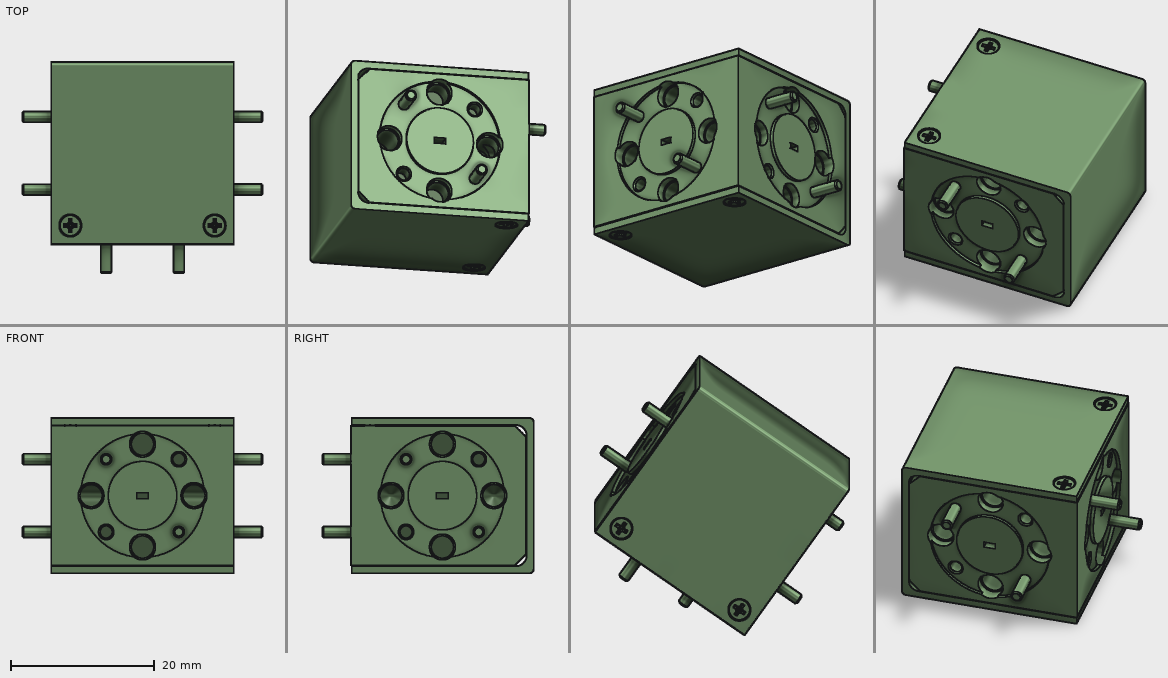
import cadquery as cq
import math

body_width = 25.4
port_face = body_width / 2
cover_height = 21.6
cover_wall = 1.0
cover_gap = 0.1
cover_setback = 0.1
cover_outer_radius = 0.6
cover_inner_radius = 1.5
block_chamfer = 1.5
port_turns = (0, -90, 90)

bolt_circle_radius = 14.29 / 2
flange_dia = 17.2
boss_dia = 9.525
ring_depth = 0.5
guide_width = 1.65
guide_height = 0.83
guide_depth = 5.0
bolt_hole_dia = 3.1
bolt_relief_dia = 3.6
bolt_relief_depth = 1.7
cross_hole_depth = 8.0
upright_hole_depth = 5.0
front_hole_depth = port_face - bolt_circle_radius
drill_point_angle = 118
pin_dia = 1.55
pin_length = 4.0
pin_chamfer = 0.2
pin_hole_dia = 1.7
pin_hole_chamfer = 0.22
pin_hole_depth = 3.0

screw_x = 10.03
screw_inset = 2.65
screw_head_dia = 2.85
screw_shank_dia = 1.6
screw_head_sink = 0.15
screw_length = 4.0
recess_span = 1.85
recess_slot = 0.45
recess_taper = 12
recess_core_dia = 0.95
recess_depth = 0.8
recess_tip_depth = 1.2

cover_top = cover_height / 2
block_height = cover_height - 2 * (cover_wall + cover_gap)
block_back = port_face - cover_wall - cover_gap
cover_front = -port_face + cover_setback
screw_y = -port_face + screw_inset
pin_offset = bolt_circle_radius * math.cos(math.radians(45))


def block_between(x_size, y_min, y_max, z_size):
    """Box centred on X and Z, spanning y_min to y_max."""
    return cq.Workplane("XY").box(x_size, y_max - y_min, z_size).translate((0, (y_min + y_max) / 2, 0))


def bore(x, z, dia, depth):
    """Flat-bottomed bore going inwards from the front face."""
    plane = cq.Workplane("XZ", origin=(x, -port_face, z))
    return plane.circle(dia / 2).extrude(-depth)


def drill_point(x, z, dia, depth):
    """Cone left by the drill at the end of a bore."""
    radius = dia / 2
    length = radius / math.tan(math.radians(drill_point_angle / 2))
    bore_end = cq.Vector(x, -port_face + depth, z)
    return cq.Workplane(cq.Solid.makeCone(radius, 0, length, bore_end, cq.Vector(0, 1, 0)))


def bolt_hole(x, z, depth):
    relief = bore(x, z, bolt_relief_dia, bolt_relief_depth)
    return bore(x, z, bolt_hole_dia, depth).union(relief)


def cross_hole(x, pointed):
    """Bolt hole beside the waveguide: drilled deep with a pointed end, or ending in the hole it meets."""
    if not pointed:
        return bolt_hole(x, 0, front_hole_depth)
    tip = drill_point(x, 0, bolt_hole_dia, cross_hole_depth)
    return bolt_hole(x, 0, cross_hole_depth).union(tip)


def pin_hole(x, z):
    """Hole for a mating pin, chamfered at the floor of the flange ring."""
    rim = cq.Vector(x, -port_face + ring_depth, z)
    radius = pin_hole_dia / 2
    chamfer = cq.Solid.makeCone(radius + pin_hole_chamfer, radius, pin_hole_chamfer, rim, cq.Vector(0, 1, 0))
    return bore(x, z, pin_hole_dia, pin_hole_depth).union(cq.Workplane(chamfer))


def flange_cuts(cross_holes_pointed):
    ring = bore(0, 0, flange_dia, ring_depth).cut(bore(0, 0, boss_dia, ring_depth))
    guide = block_between(guide_width, -port_face, -port_face + guide_depth, guide_height)
    cuts = [ring, guide]
    for side in (-1, 1):
        cuts.append(bolt_hole(0, side * bolt_circle_radius, upright_hole_depth))
        cuts.append(cross_hole(side * bolt_circle_radius, cross_holes_pointed))
        cuts.append(pin_hole(side * pin_offset, side * pin_offset))
    return cuts


def flange_pins():
    length = pin_length + ring_depth
    pins = []
    for side in (-1, 1):
        plane = cq.Workplane("XZ", origin=(side * pin_offset, -port_face + ring_depth, -side * pin_offset))
        pins.append(plane.circle(pin_dia / 2).extrude(length).faces("<Y").chamfer(pin_chamfer))
    return pins


def screw_shape(clear_top):
    """Countersunk screw on the Z axis; clear_top carries the head cone on to the cover surface."""
    head_radius = screw_head_dia / 2
    shank_radius = screw_shank_dia / 2
    head_top = cover_top - screw_head_sink
    cone_end = head_top - (head_radius - shank_radius)
    tip = head_top - screw_length
    if clear_top:
        head_top = cover_top
        head_radius += screw_head_sink
    points = [(0, tip), (shank_radius, tip), (shank_radius, cone_end), (head_radius, head_top), (0, head_top)]
    return cq.Workplane("XZ").polyline(points).close().revolve(360, (0, 0, 0), (0, 1, 0))


def screw_body():
    recess_plane = cq.Workplane("XY").workplane(offset=cover_top - screw_head_sink)
    recess = recess_plane.rect(recess_span, recess_slot).extrude(-recess_depth, taper=recess_taper)
    recess = recess.union(recess_plane.rect(recess_slot, recess_span).extrude(-recess_depth, taper=recess_taper))
    core = cq.Solid.makeCone(
        recess_core_dia / 2, 0, recess_tip_depth,
        cq.Vector(0, 0, cover_top - screw_head_sink), cq.Vector(0, 0, -1))
    recess = recess.union(cq.Workplane(core))
    return screw_shape(False).cut(recess)


def at_screw_places(shape):
    """Four copies: two on top, two underneath."""
    flipped = shape.rotate((0, 0, 0), (1, 0, 0), 180)
    return [s.translate((x, screw_y, 0)) for s in (shape, flipped) for x in (-screw_x, screw_x)]


screws = at_screw_places(screw_body())
screw_holes = at_screw_places(screw_shape(True))

block = block_between(body_width, -port_face, block_back, block_height)
block = block.faces(">Y").edges("|X").chamfer(block_chamfer)
for turn in port_turns:
    for cut in flange_cuts(cross_holes_pointed=turn != 0):
        block = block.cut(cut.rotate((0, 0, 0), (0, 0, 1), turn))
for turn in port_turns:
    for pin in flange_pins():
        block = block.union(pin.rotate((0, 0, 0), (0, 0, 1), turn))

cover = block_between(body_width, cover_front, port_face, cover_height)
cover = cover.faces(">Y").edges("|X").fillet(cover_outer_radius)
cavity = block_between(body_width, cover_front, port_face - cover_wall, cover_height - 2 * cover_wall)
cavity = cavity.faces(">Y").edges("|X").fillet(cover_inner_radius)
cover = cover.cut(cavity)

for hole in screw_holes:
    block = block.cut(hole)
    cover = cover.cut(hole)

result = cq.Compound.makeCompound([block.val(), cover.val(), *[screw.val() for screw in screws]])